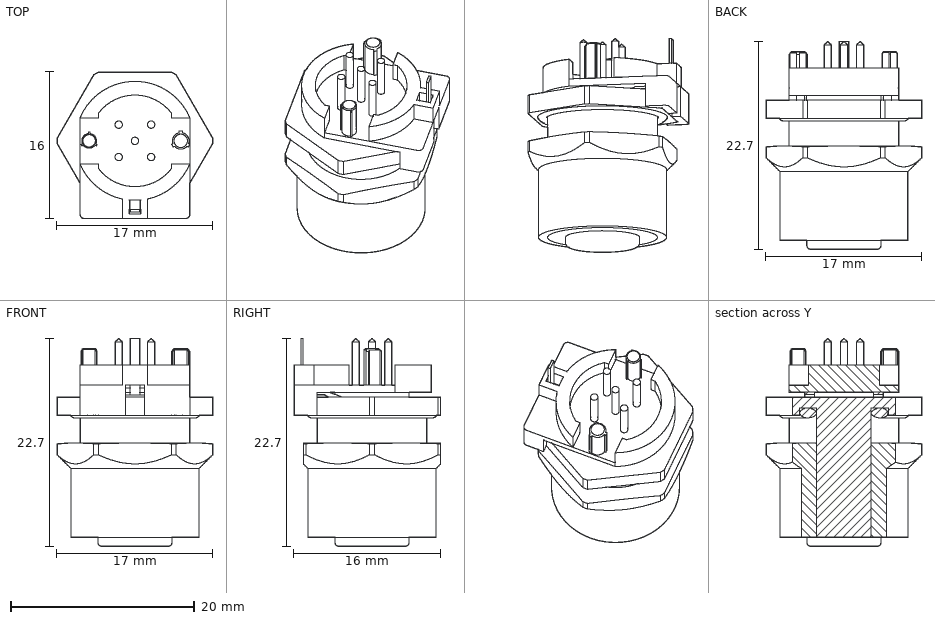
import cadquery as cq
import math


HEX_FLATS = 15.0
HEX_CORNER_DIAMETER = 17.0

SLEEVE_BOTTOM = 1.0
NUT_HEX_BOTTOM = 8.5
NUT_TOP = 11.3
FLANGE_BOTTOM = 14.3
FLANGE_TOP = 16.3
PLATE_BOTTOM = 16.8
PLATE_TOP = 17.6
RING_TOP = 19.8
PEG_TOP = 21.6
CONTACT_TOP = 22.7

BARREL_RADIUS = 6.0
NUT_SLEEVE_RADIUS = 7.0
NUT_BEVEL_RADIUS = 7.2
NUT_BEVEL_DROP = 0.1

ORING_WIRE_RADIUS = 0.55
ORING_RADIUS = BARREL_RADIUS + ORING_WIRE_RADIUS
ORING_PROTRUSION = 0.3

INSERT_RADIUS = 4.06
INSERT_FILLET = 0.45

CARRIER_HALF_WIDTH = 6.0
CARRIER_FRONT = -8.5
RING_OUTER_RADIUS = 6.5
RING_INNER_RADIUS = 5.0
RING_POCKET_HALF_WIDTH = 4.0
RING_GAP_HALF_WIDTH = 2.5
SKIRT_BACK = -6.0
SKIRT_FILLET = 0.5

HOLDER_HALF_WIDTH = 1.37
SLOT_HALF_WIDTH = 0.61
SLOT_FRONT = -7.98
SLOT_BACK = -6.44
NOTCH_HALF_WIDTH = 1.02
NOTCH_CHAMFER = 0.5

CONTACT_RADIUS = 0.4
CONTACT_TIP = 0.37
CONTACT_CIRCLE_RADIUS = 2.5

PEG_OFFSET = 5.0
PEG_RIB_COUNT = 3

TAB_HALF_WIDTH = 0.53
TAB_FRONT = -7.77
TAB_THICKNESS = 0.26
TAB_BEND_RADIUS = 0.5
SPRING_HALF_WIDTH = 4.3
SPRING_BACK = -5.2
LEG_WIDTH = 1.1
LEG_CREST = -4.55
LEG_TOE = -3.25
LEG_HEEL = -4.75


def box(x_min, x_max, y_min, y_max, z_min, z_max):
    """Block between two opposite corners."""
    size = (x_max - x_min, y_max - y_min, z_max - z_min)
    return cq.Workplane("XY").box(*size, centered=False).translate((x_min, y_min, z_min))


def cylinder(radius, z_min, z_max):
    """Cylinder on the connector axis."""
    return cq.Workplane("XY").workplane(offset=z_min).circle(radius).extrude(z_max - z_min)


def hexagon(z_min, z_max):
    """Hexagonal prism with flats facing +Y and -Y."""
    across_corners = HEX_FLATS / math.cos(math.pi / 6)
    return cq.Workplane("XY").workplane(offset=z_min).polygon(6, across_corners).extrude(z_max - z_min)


def revolve_profile(points):
    """Solid of revolution about the connector axis from (radius, height) points."""
    return cq.Workplane("XZ").polyline(points).close().revolve(360, (0, 0, 0), (0, 1, 0))


def make_housing():
    """Threaded barrel under a hexagonal flange, with an O-ring groove and a bore for the insert."""
    corner_turning = cylinder(HEX_CORNER_DIAMETER / 2, FLANGE_BOTTOM, FLANGE_TOP)
    flange = hexagon(FLANGE_BOTTOM, FLANGE_TOP).intersect(corner_turning)
    groove_top = FLANGE_BOTTOM - ORING_PROTRUSION + 2 * ORING_WIRE_RADIUS
    groove = cylinder(ORING_RADIUS + ORING_WIRE_RADIUS, FLANGE_BOTTOM, groove_top)
    barrel = cylinder(BARREL_RADIUS, SLEEVE_BOTTOM, FLANGE_TOP)
    bore = cylinder(INSERT_RADIUS, SLEEVE_BOTTOM, FLANGE_TOP)
    return flange.cut(groove).union(barrel).cut(bore)


def make_nut():
    """Hexagonal nut with a round sleeve below, turned to a 45 degree cone on its underside."""
    corner_radius = HEX_CORNER_DIAMETER / 2
    cone_height = corner_radius - NUT_SLEEVE_RADIUS
    turned_blank = revolve_profile([
        (0, NUT_HEX_BOTTOM),
        (NUT_SLEEVE_RADIUS, NUT_HEX_BOTTOM),
        (corner_radius, NUT_HEX_BOTTOM + cone_height),
        (corner_radius, NUT_TOP - NUT_BEVEL_DROP),
        (NUT_BEVEL_RADIUS, NUT_TOP),
        (0, NUT_TOP),
    ])
    head = hexagon(NUT_HEX_BOTTOM, NUT_TOP).intersect(turned_blank)
    sleeve = cylinder(NUT_SLEEVE_RADIUS, SLEEVE_BOTTOM, NUT_HEX_BOTTOM)
    bore = cylinder(BARREL_RADIUS, SLEEVE_BOTTOM, NUT_TOP)
    return head.union(sleeve).cut(bore)


def make_oring():
    """O-ring that hugs the barrel and stands out of its groove below the flange."""
    center_height = FLANGE_BOTTOM - ORING_PROTRUSION + ORING_WIRE_RADIUS
    wire = cq.Workplane("XZ").center(ORING_RADIUS, center_height).circle(ORING_WIRE_RADIUS)
    return wire.revolve(360, (-ORING_RADIUS, 0, 0), (-ORING_RADIUS, 1, 0))


def carrier_plate():
    """Plate that is round at the back and square at the front, with a skirt around the flange."""
    width_limits = (-CARRIER_HALF_WIDTH, CARRIER_HALF_WIDTH)
    round_back = cylinder(RING_OUTER_RADIUS, PLATE_BOTTOM, PLATE_TOP)
    round_back = round_back.intersect(box(*width_limits, 0, RING_OUTER_RADIUS, PLATE_BOTTOM, PLATE_TOP))
    front = box(*width_limits, CARRIER_FRONT, 0, PLATE_BOTTOM, PLATE_TOP)
    skirt = box(*width_limits, CARRIER_FRONT, SKIRT_BACK, FLANGE_BOTTOM, PLATE_TOP)
    skirt = skirt.cut(hexagon(FLANGE_BOTTOM, PLATE_BOTTOM))
    square_front = front.union(skirt).edges("|Z and <Y").fillet(SKIRT_FILLET)
    return square_front.union(round_back)


def carrier_ring():
    """Raised ring on the plate, open at both sides for the pegs."""
    x_limits = (-CARRIER_HALF_WIDTH, CARRIER_HALF_WIDTH)
    y_limits = (-RING_OUTER_RADIUS, RING_OUTER_RADIUS)
    z_limits = (PLATE_TOP, RING_TOP)
    pocket_width = (-RING_POCKET_HALF_WIDTH, RING_POCKET_HALF_WIDTH)
    pocket = cylinder(RING_INNER_RADIUS, *z_limits).intersect(box(*pocket_width, *y_limits, *z_limits))
    side_gap = box(*x_limits, -RING_GAP_HALF_WIDTH, RING_GAP_HALF_WIDTH, *z_limits)
    ring = cylinder(RING_OUTER_RADIUS, *z_limits).intersect(box(*x_limits, *y_limits, *z_limits))
    holder_back = -(RING_INNER_RADIUS + RING_OUTER_RADIUS) / 2
    holder = box(-HOLDER_HALF_WIDTH, HOLDER_HALF_WIDTH, CARRIER_FRONT, holder_back, *z_limits)
    return ring.union(holder).cut(pocket).cut(side_gap)


def tab_passage():
    """Space for the grounding tab: a slot from above and a notch open to the front."""
    slot = box(-SLOT_HALF_WIDTH, SLOT_HALF_WIDTH, SLOT_FRONT, SLOT_BACK, PLATE_BOTTOM, RING_TOP)
    notch = (
        cq.Workplane("YZ")
        .polyline([
            (CARRIER_FRONT, FLANGE_BOTTOM),
            (SLOT_BACK + NOTCH_CHAMFER, FLANGE_BOTTOM),
            (SLOT_BACK + NOTCH_CHAMFER, PLATE_BOTTOM),
            (SLOT_BACK, PLATE_BOTTOM + NOTCH_CHAMFER),
            (SLOT_BACK, PLATE_TOP),
            (CARRIER_FRONT, PLATE_TOP),
        ])
        .close()
        .extrude(NOTCH_HALF_WIDTH, both=True)
    )
    return slot.union(notch)


def contact_pin(x, y):
    """Round contact with a pointed tip."""
    pin = revolve_profile([
        (0, PLATE_BOTTOM),
        (CONTACT_RADIUS, PLATE_BOTTOM),
        (CONTACT_RADIUS, CONTACT_TOP - CONTACT_TIP),
        (0, CONTACT_TOP),
    ])
    return pin.translate((x, y, 0))


def locating_peg(x, radius, rib_reach, rib_width, top_radius):
    """Round peg with three crush ribs, its top turned to a 45 degree cone."""
    peg = cylinder(radius, PLATE_BOTTOM, PEG_TOP)
    for index in range(PEG_RIB_COUNT):
        rib = box(-rib_width / 2, rib_width / 2, 0, rib_reach, PLATE_BOTTOM, PEG_TOP)
        peg = peg.union(rib.rotate((0, 0, 0), (0, 0, 1), index * 360 / PEG_RIB_COUNT))
    rib_corner_radius = math.hypot(rib_reach, rib_width / 2)
    cone_envelope = revolve_profile([
        (0, PLATE_BOTTOM),
        (rib_corner_radius, PLATE_BOTTOM),
        (rib_corner_radius, PEG_TOP - (rib_corner_radius - top_radius)),
        (top_radius, PEG_TOP),
        (0, PEG_TOP),
    ])
    return peg.intersect(cone_envelope).translate((x, 0, 0))


def make_carrier():
    """Contact carrier: plate, ring, insert, contacts and pegs in one piece."""
    insert = cylinder(INSERT_RADIUS, 0, PLATE_BOTTOM).faces("<Z").edges().fillet(INSERT_FILLET)
    carrier = carrier_plate().union(carrier_ring()).cut(tab_passage()).union(insert)
    contact_step = CONTACT_CIRCLE_RADIUS / math.sqrt(2)
    contact_places = [(0, 0)]
    for x in (-contact_step, contact_step):
        for y in (-contact_step, contact_step):
            contact_places.append((x, y))
    for x, y in contact_places:
        carrier = carrier.union(contact_pin(x, y))
    small_peg = locating_peg(-PEG_OFFSET, radius=0.8, rib_reach=0.95, rib_width=0.15, top_radius=0.68)
    large_peg = locating_peg(PEG_OFFSET, radius=0.9, rib_reach=1.05, rib_width=0.35, top_radius=0.73)
    return carrier.union(small_peg).union(large_peg)


def make_grounding_tab():
    """Bent strip: upright tab, wide spring plate under the carrier, two legs resting on the flange."""
    spring_bottom = PLATE_BOTTOM - TAB_THICKNESS
    upright = box(
        -TAB_HALF_WIDTH, TAB_HALF_WIDTH,
        TAB_FRONT, TAB_FRONT + TAB_THICKNESS,
        spring_bottom, CONTACT_TOP,
    )
    foot = box(-TAB_HALF_WIDTH, TAB_HALF_WIDTH, TAB_FRONT, SLOT_BACK, spring_bottom, PLATE_BOTTOM)
    strip = upright.union(foot).edges("|X and <Y and <Z").fillet(TAB_BEND_RADIUS)
    plate = box(
        -SPRING_HALF_WIDTH, SPRING_HALF_WIDTH, SLOT_BACK, SPRING_BACK, spring_bottom, PLATE_BOTTOM
    )
    tab = strip.union(plate)
    leg = (
        cq.Workplane("YZ")
        .polyline([
            (SPRING_BACK, PLATE_BOTTOM),
            (LEG_CREST, PLATE_BOTTOM),
            (LEG_TOE, FLANGE_TOP),
            (LEG_HEEL, FLANGE_TOP),
            (SPRING_BACK, spring_bottom),
        ])
        .close()
        .extrude(LEG_WIDTH)
    )
    for leg_start in (-SPRING_HALF_WIDTH, SPRING_HALF_WIDTH - LEG_WIDTH):
        tab = tab.union(leg.translate((leg_start, 0, 0)))
    return tab


housing = make_housing()
nut = make_nut()
oring = make_oring()
carrier = make_carrier()
grounding_tab = make_grounding_tab()

result = cq.Compound.makeCompound([
    *housing.solids().vals(),
    *nut.solids().vals(),
    *oring.solids().vals(),
    *carrier.solids().vals(),
    *grounding_tab.solids().vals(),
])